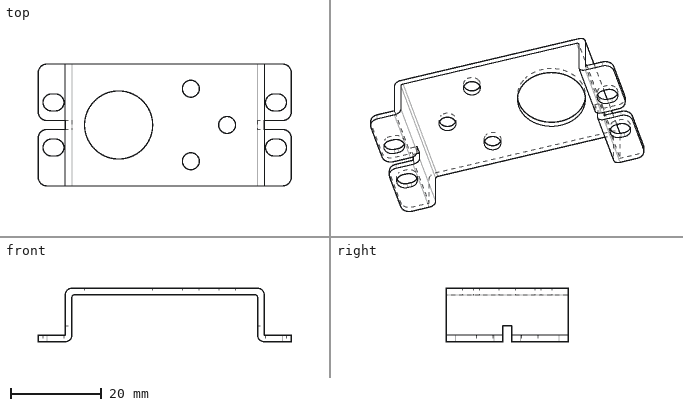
import cadquery as cq

length = 56.0
width = 27.0
height = 11.9
thickness = 1.5
outer_bend_radius = thickness
bridge_inner_radius = 0.5
bridge_length = 44.0

notch_width = 1.9
notch_height = 3.5
foot_corner_radius = 2.0
slot_length = 4.6
slot_width = 3.7
slot_x = 24.6
slot_y = 5.0

large_hole_diameter = 15.0
large_hole_x = -10.2
small_hole_diameter = 3.7
small_hole_pattern_x = 5.75
small_hole_pattern_radius = 8.0


def box_at(size_x, size_y, size_z, x):
    """Box standing on Z = 0, centred at x on the X axis."""
    return cq.Workplane("XY").box(size_x, size_y, size_z, centered=(True, True, False)).translate((x, 0, 0))


def bent_sheet():
    """Hat-shaped sheet: a raised bridge, two webs and two outward feet that meet the webs in sharp corners."""
    half_length = length / 2
    web_outside = bridge_length / 2
    web_inside = web_outside - thickness
    profile = [
        (-half_length, 0),
        (-web_inside, 0),
        (-web_inside, height - thickness),
        (web_inside, height - thickness),
        (web_inside, 0),
        (half_length, 0),
        (half_length, thickness),
        (web_outside, thickness),
        (web_outside, height),
        (-web_outside, height),
        (-web_outside, thickness),
        (-half_length, thickness),
    ]
    sheet = cq.Workplane("XZ").polyline(profile).close().extrude(width / 2, both=True)

    def bend_edge(x, z):
        margin = thickness / 4
        low = (x - margin, -width, z - margin)
        high = (x + margin, width, z + margin)
        return cq.selectors.BoxSelector(low, high)

    for x, z, radius in (
        (web_outside, height, outer_bend_radius),
        (web_inside, 0, outer_bend_radius),
        (web_inside, height - thickness, bridge_inner_radius),
    ):
        for side in (-1, 1):
            sheet = sheet.edges("|Y").edges(bend_edge(side * x, z)).fillet(radius)
    return sheet


def split_feet(sheet):
    """Notch each end into two feet, then round the outer corners of the feet."""
    notch_start = bridge_length / 2 - thickness - outer_bend_radius
    notch_length = length / 2 - notch_start
    for side in (-1, 1):
        notch_x = side * (notch_start + notch_length / 2)
        sheet = sheet.cut(box_at(notch_length, notch_width, notch_height, notch_x))
    foot_ends = sheet.faces("<X or >X")
    return foot_ends.edges("|Z").fillet(foot_corner_radius)


def cut_foot_slots(sheet):
    """One slot through each foot, long side along X."""
    slot_centres = [(x, y) for x in (-slot_x, slot_x) for y in (-slot_y, slot_y)]
    slots = cq.Workplane("XY").pushPoints(slot_centres).slot2D(slot_length, slot_width).extrude(thickness)
    return sheet.cut(slots)


def cut_bridge_holes(sheet):
    """One large hole, and three small holes on a half circle."""
    small_hole_centres = [
        (small_hole_pattern_x, small_hole_pattern_radius),
        (small_hole_pattern_x, -small_hole_pattern_radius),
        (small_hole_pattern_x + small_hole_pattern_radius, 0),
    ]
    large_hole = cq.Workplane("XY").center(large_hole_x, 0).circle(large_hole_diameter / 2).extrude(height)
    small_holes = cq.Workplane("XY").pushPoints(small_hole_centres).circle(small_hole_diameter / 2)
    return sheet.cut(large_hole).cut(small_holes.extrude(height))


result = cut_bridge_holes(cut_foot_slots(split_feet(bent_sheet())))